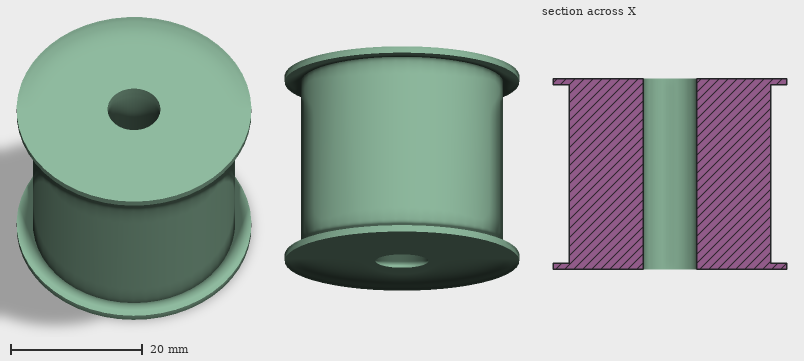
import cadquery as cq

flange_diameter = 35.6
height = 29.0
flange_thickness = 1.0
drum_diameter = 30.7
bore_diameter = 8.0

drum_height = height - 2 * flange_thickness


def disc(diameter, thickness, base_z):
    """Solid disc on the Z axis, with its lower face at base_z."""
    return cq.Workplane("XY").workplane(offset=base_z).circle(diameter / 2).extrude(thickness)


lower_flange = disc(flange_diameter, flange_thickness, -height / 2)
drum = disc(drum_diameter, drum_height, -drum_height / 2)
upper_flange = disc(flange_diameter, flange_thickness, drum_height / 2)
spool = lower_flange.union(drum).union(upper_flange)

bore = disc(bore_diameter, height, -height / 2)
result = spool.cut(bore)